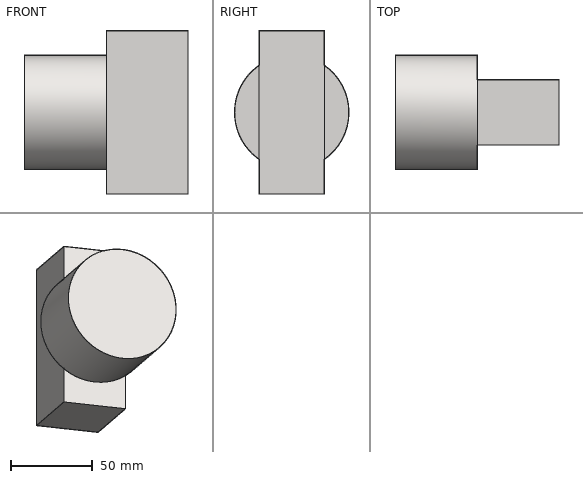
import cadquery as cq

block_length = 50.0
block_width = 40.0
block_height = 100.0

boss_diameter = 70.0
boss_length = 50.0

block = cq.Workplane("XY").box(
    block_length, block_width, block_height, centered=(False, True, True)
)

boss = cq.Workplane("YZ").circle(boss_diameter / 2).extrude(-boss_length)

result = block.union(boss)